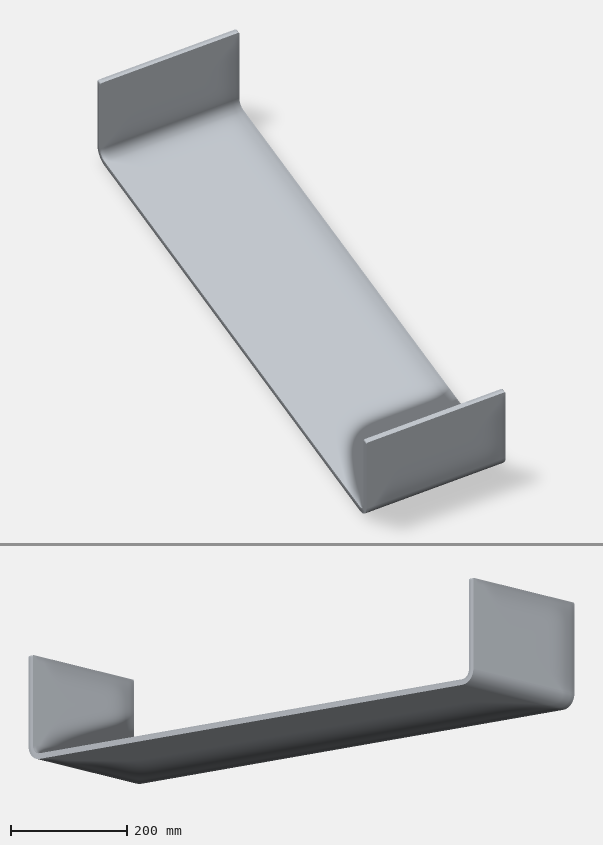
import cadquery as cq

length = 1000.0
depth = 270.0
height = 185.0

thickness = 10.0
inner_bend_radius = 15.0
outer_bend_radius = inner_bend_radius + thickness
rim_corner_radius = 3.0


def rounded_block(block_length, bottom, bend_radius):
    """Full-depth block from bottom up to the rim, with its lower edges along Y rounded."""
    return (
        cq.Workplane("XY", origin=(0, 0, bottom))
        .box(block_length, depth, height - bottom, centered=(True, True, False))
        .edges("|Y and <Z")
        .fillet(bend_radius)
    )


outer_block = rounded_block(length, 0, outer_bend_radius)
inner_space = rounded_block(length - 2 * thickness, thickness, inner_bend_radius)
sheet = outer_block.cut(inner_space)

result = sheet.faces(">Z").edges("|X").fillet(rim_corner_radius)